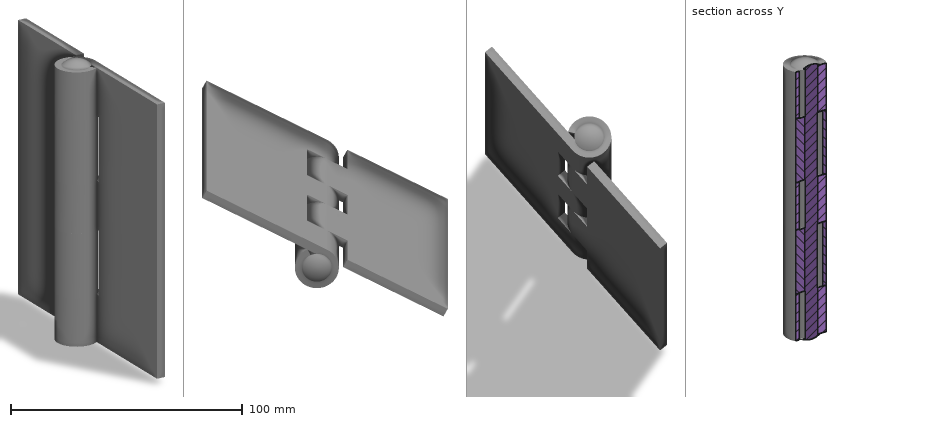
import cadquery as cq
import math

total_height = 132.2
total_width = 118.0
leaf_height = 127.2

barrel_radius = 9.5
sheet_thickness = 4.0
bore_radius = barrel_radius - sheet_thickness
curl_end_angle = 35.0
notch_edge = 9.9

long_knuckle = 30.0
middle_knuckle = 22.6
end_knuckle = (leaf_height - 2 * long_knuckle - middle_knuckle) / 2

head_radius = 6.5
head_height = (total_height - leaf_height) / 2


def polar(radius, angle):
    """Point at a radius and an angle in degrees around the barrel axis."""
    return (radius * math.cos(math.radians(angle)), radius * math.sin(math.radians(angle)))


def knuckle(bottom, height):
    """Open roll tangent to a flat tongue that reaches the notch floor at +X."""
    roll_middle_angle = (90 + 360 + curl_end_angle) / 2
    return (
        cq.Workplane("XY", origin=(0, 0, bottom))
        .moveTo(notch_edge, barrel_radius)
        .lineTo(0, barrel_radius)
        .threePointArc(polar(barrel_radius, roll_middle_angle), polar(barrel_radius, curl_end_angle))
        .lineTo(*polar(bore_radius, curl_end_angle))
        .threePointArc(polar(bore_radius, roll_middle_angle), (0, bore_radius))
        .lineTo(notch_edge, bore_radius)
        .close()
        .extrude(height)
    )


def leaf(knuckle_spans):
    """Flat plate on the +X side with a knuckle at each (bottom, height) span."""
    body = cq.Workplane("XY").box(
        total_width / 2 - notch_edge, sheet_thickness, leaf_height, centered=False
    ).translate((notch_edge, bore_radius, -leaf_height / 2))
    for bottom, height in knuckle_spans:
        body = body.union(knuckle(bottom, height))
    return body


def hinge_pin():
    """Shank filling the bore, with a domed head on each end."""
    half_shank = leaf_height / 2
    dome_radius = (head_radius**2 + head_height**2) / (2 * head_height)
    dome_center = half_shank + head_height - dome_radius
    middle_x = head_radius / 2
    middle_z = dome_center + math.sqrt(dome_radius**2 - middle_x**2)
    return (
        cq.Workplane("XZ")
        .moveTo(0, -half_shank - head_height)
        .threePointArc((middle_x, -middle_z), (head_radius, -half_shank))
        .lineTo(bore_radius, -half_shank)
        .lineTo(bore_radius, half_shank)
        .lineTo(head_radius, half_shank)
        .threePointArc((middle_x, middle_z), (0, half_shank + head_height))
        .close()
        .revolve(360, (0, 0), (0, 1))
    )


right_leaf = leaf([
    (-leaf_height / 2, end_knuckle),
    (-middle_knuckle / 2, middle_knuckle),
    (leaf_height / 2 - end_knuckle, end_knuckle),
])

left_leaf = leaf([
    (-middle_knuckle / 2 - long_knuckle, long_knuckle),
    (middle_knuckle / 2, long_knuckle),
]).mirror("YZ")

pin = hinge_pin()

result = cq.Compound.makeCompound([right_leaf.val(), left_leaf.val(), pin.val()])